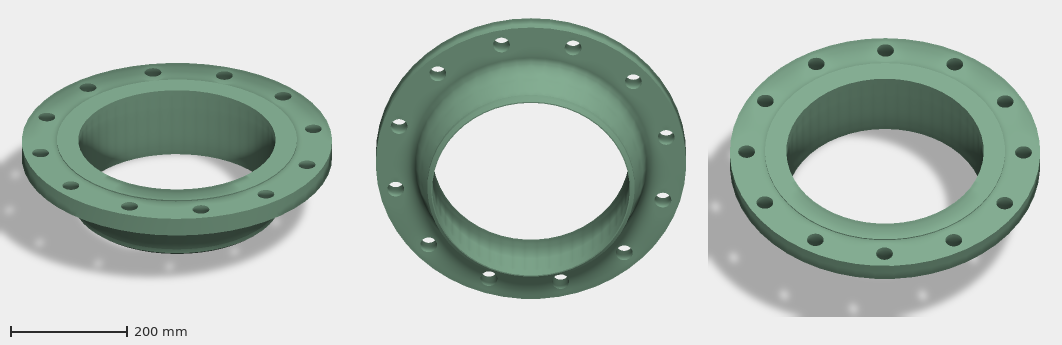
import cadquery as cq
import math

flange_diameter = 533.5
total_height = 127.0

face_diameter = 413.0
face_height = 2.0
flange_thickness = 33.0

bore_diameter = 339.0
weld_end_diameter = 356.5
weld_end_height = 13.0
hub_top_diameter = 401.0
hub_fillet = 8.5
weld_bevel_width = 6.5
weld_bevel_height = 5.5

bolt_count = 12
bolt_circle_diameter = 476.0
bolt_hole_diameter = 29.0

face_bottom_z = total_height - face_height
flange_bottom_z = face_bottom_z - flange_thickness


def make_body():
    """Revolve the flange, raised face and hub around the Z axis."""
    bore_radius = bore_diameter / 2
    weld_radius = weld_end_diameter / 2
    hub_radius = hub_top_diameter / 2
    taper = math.atan2(hub_radius - weld_radius, flange_bottom_z - weld_end_height)
    tangent_length = hub_fillet * math.tan((math.pi / 2 - taper) / 2)
    fillet_start = (
        hub_radius - tangent_length * math.sin(taper),
        flange_bottom_z - tangent_length * math.cos(taper),
    )
    fillet_end = (hub_radius + tangent_length, flange_bottom_z)
    profile = (
        cq.Workplane("XZ")
        .moveTo(bore_radius, 0)
        .lineTo(weld_radius - weld_bevel_width, 0)
        .lineTo(weld_radius, weld_bevel_height)
        .lineTo(weld_radius, weld_end_height)
        .lineTo(*fillet_start)
        .tangentArcPoint(fillet_end, relative=False)
        .lineTo(flange_diameter / 2, flange_bottom_z)
        .lineTo(flange_diameter / 2, face_bottom_z)
        .lineTo(face_diameter / 2, face_bottom_z)
        .lineTo(face_diameter / 2, total_height)
        .lineTo(bore_radius, total_height)
        .close()
    )
    return profile.revolve(360, (0, 0, 0), (0, 1, 0))


def make_bolt_holes():
    """Cylinders that pass through the flange, with one on the X axis."""
    return (
        cq.Workplane("XY")
        .workplane(offset=flange_bottom_z)
        .polarArray(bolt_circle_diameter / 2, 0, 360, bolt_count)
        .circle(bolt_hole_diameter / 2)
        .extrude(total_height - flange_bottom_z)
    )


result = make_body().cut(make_bolt_holes())